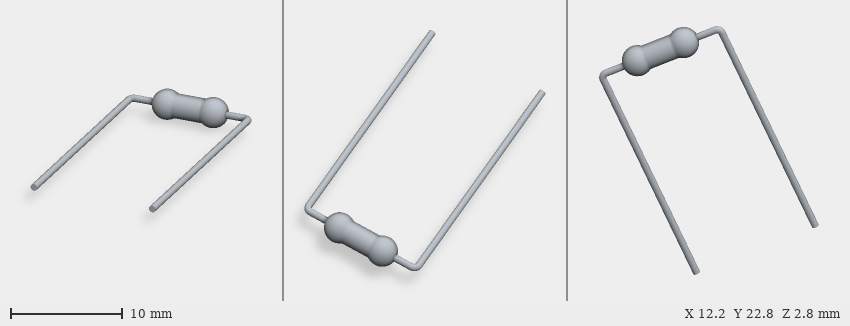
import cadquery as cq
import math

bulb_radius = 1.4
bulb_spacing = 4.5
end_flat_radius = 0.5
barrel_radius = 1.125
neck_fillet = 0.5

overall_width = 12.23
wire_diameter = 0.65
bend_radius = 0.475
lead_reach = 21.4

bulb_x = bulb_spacing / 2
end_flat_x = bulb_x + math.sqrt(bulb_radius**2 - end_flat_radius**2)
lead_x = (overall_width - wire_diameter) / 2


def make_body():
    """Revolve the half profile of barrel, neck fillets and flat-ended bulbs about X."""
    fillet_centre_y = barrel_radius + neck_fillet
    centre_distance = bulb_radius + neck_fillet
    neck_x = bulb_x - math.sqrt(centre_distance**2 - fillet_centre_y**2)

    share = bulb_radius / centre_distance
    join_x = bulb_x + share * (neck_x - bulb_x)
    join_y = share * fillet_centre_y

    join_angle = math.atan2(join_y - fillet_centre_y, join_x - neck_x)
    mid_angle = (join_angle - math.pi / 2) / 2
    fillet_mid_x = neck_x + neck_fillet * math.cos(mid_angle)
    fillet_mid_y = fillet_centre_y + neck_fillet * math.sin(mid_angle)

    return (
        cq.Workplane("XY")
        .moveTo(-end_flat_x, 0)
        .lineTo(-end_flat_x, end_flat_radius)
        .threePointArc((-bulb_x, bulb_radius), (-join_x, join_y))
        .threePointArc((-fillet_mid_x, fillet_mid_y), (-neck_x, barrel_radius))
        .lineTo(neck_x, barrel_radius)
        .threePointArc((fillet_mid_x, fillet_mid_y), (join_x, join_y))
        .threePointArc((bulb_x, bulb_radius), (end_flat_x, end_flat_radius))
        .lineTo(end_flat_x, 0)
        .close()
        .revolve(360, (0, 0, 0), (1, 0, 0))
    )


def make_lead(side):
    """Sweep a round wire from the end flat on the given side (-1 or +1) out to its tip."""
    bend_start_x = lead_x - bend_radius
    bend_mid_x = bend_start_x + bend_radius * math.sin(math.pi / 4)
    bend_mid_y = bend_radius * (math.cos(math.pi / 4) - 1)
    path = (
        cq.Workplane("XY")
        .moveTo(side * end_flat_x, 0)
        .lineTo(side * bend_start_x, 0)
        .threePointArc((side * bend_mid_x, bend_mid_y), (side * lead_x, -bend_radius))
        .lineTo(side * lead_x, -lead_reach)
    )
    return (
        cq.Workplane("YZ", origin=(side * end_flat_x, 0, 0))
        .circle(wire_diameter / 2)
        .sweep(path)
    )


body = make_body()
leads = [make_lead(side) for side in (-1, 1)]

result = cq.Compound.makeCompound([body.val(), *[lead.val() for lead in leads]])